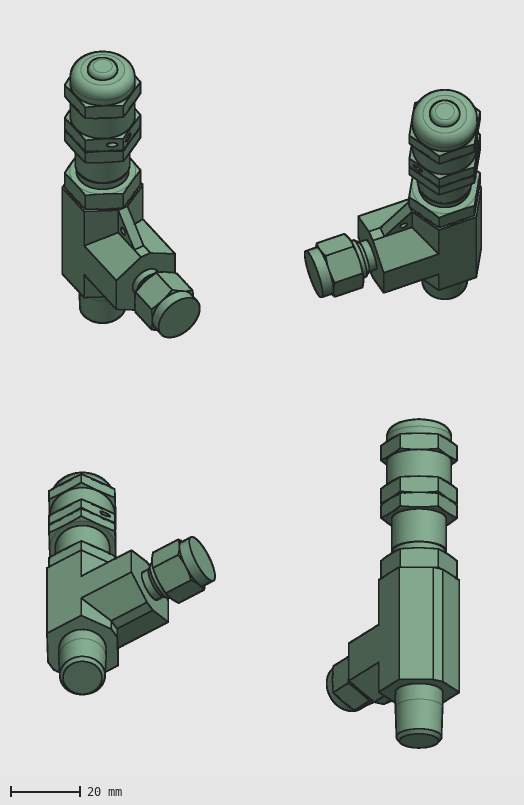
import cadquery as cq
import math

THREAD_CHAMFER_Z = 1.2
THREAD_TAPER_Z = 10.4
BODY_BOTTOM_Z = 15.1
BRANCH_Z = 30.2
BODY_TOP_Z = 50.0
BONNET_NUT_TOP_Z = 56.2
STEM_STEP_Z = 58.9
LOCK_NUT_BOTTOM_Z = 69.0
LOCK_NUT_TOP_Z = 73.5
DRILLED_NUT_TOP_Z = 78.6
CAP_NUT_BOTTOM_Z = 86.9
CAP_NUT_TOP_Z = 91.9
CAP_TOP_Z = 97.2
TOP_Z = 98.8

THREAD_TIP_RADIUS = 5.6
THREAD_RADIUS = 13.7 / 2
THREAD_TAPER = 1 / 32
STEM_GROOVE_RADIUS = 7.6
STEM_RADIUS = 7.9
CAP_RADIUS = 9.4
CAP_ROUND = 3.1
BUTTON_RADIUS = 4.3
BUTTON_ROUND = TOP_Z - CAP_TOP_Z

NUT_FLATS = 19.1
NUT_CHAMFER = 0.3
LOCK_HOLE_RADIUS = 0.8
LOCK_HOLE_X = 9.4
LOCK_HOLE_Z = (LOCK_NUT_TOP_Z + DRILLED_NUT_TOP_Z) / 2

BODY_FLATS = 20.3
BODY_HALF_WIDTH = 10.8
BODY_CORNER = BODY_FLATS / math.sqrt(3)
CUT_CORNER_HALF = (BODY_CORNER - BODY_HALF_WIDTH) * math.sqrt(3)
BRANCH_END_X = 22.9

GUSSET_END_X = 19.4
GUSSET_HOLE_RADIUS = 1.1
GUSSET_HOLE_X = 13.3
GUSSET_HOLE_Z = 43.7

TUBE_RADIUS = 4.5
COLLAR_RADIUS = 5.6
COLLAR_CONE_X = 25.2
COLLAR_X = 26.4
TUBE_NUT_X = 28.0
TUBE_NUT_END_X = 37.35
FITTING_END_X = 40.7
TUBE_NUT_FLATS = 14.2
TUBE_NUT_CHAMFER = 0.4


def revolve_about_z(points):
    """Solid of revolution from (radius, height) points along the Z axis."""
    profile = cq.Workplane("XZ").polyline(points).close()
    return profile.revolve(360, (0, 0), (0, 1))


def hex_nut(flats, bottom, top, chamfer):
    """Nut along Z with corners on X; both ends are coned down to the flats."""
    corner_radius = flats / math.sqrt(3)
    prism = cq.Workplane("XY").workplane(offset=bottom).polygon(6, 2 * corner_radius).extrude(top - bottom)
    cone_envelope = revolve_about_z([
        (0, bottom),
        (flats / 2, bottom),
        (corner_radius, bottom + chamfer),
        (corner_radius, top - chamfer),
        (flats / 2, top),
        (0, top),
    ])
    return prism.intersect(cone_envelope)


def along_branch(solid):
    """Turn a solid built along Z so that it lies on the branch axis, toward +X."""
    return solid.rotate((0, 0, 0), (0, 1, 0), 90).translate((0, 0, BRANCH_Z))


def body_bar(start, end):
    """Length of the body section along Z, with its cut corners on X."""
    bar = cq.Workplane("XY").workplane(offset=start).polygon(6, 2 * BODY_CORNER).extrude(end - start)
    width_limit = cq.Workplane("XY").workplane(offset=start)
    width_limit = width_limit.rect(2 * BODY_HALF_WIDTH, BODY_FLATS).extrude(end - start)
    return bar.intersect(width_limit)


def make_gusset():
    """Triangular web, as thick as the cut corners it bridges."""
    branch_top = BRANCH_Z + BODY_HALF_WIDTH
    return cq.Workplane("XZ").polyline([
        (0, BODY_TOP_Z),
        (BODY_HALF_WIDTH, BODY_TOP_Z),
        (GUSSET_END_X, branch_top),
        (GUSSET_END_X, BRANCH_Z),
        (0, BRANCH_Z),
    ]).close().extrude(CUT_CORNER_HALF, both=True)


def cross_hole(x, z, radius):
    """Cutter for a hole that passes right through along Y."""
    return cq.Workplane("XZ").center(x, z).circle(radius).extrude(BODY_FLATS, both=True)


def make_stack():
    """Turned parts on the main axis: inlet thread, stem, cap and button."""
    thread_end_radius = THREAD_RADIUS - THREAD_TAPER * (THREAD_TAPER_Z - THREAD_CHAMFER_Z)
    stack = revolve_about_z([
        (0, 0),
        (THREAD_TIP_RADIUS, 0),
        (thread_end_radius, THREAD_CHAMFER_Z),
        (THREAD_RADIUS, THREAD_TAPER_Z),
        (THREAD_RADIUS, BODY_TOP_Z),
        (STEM_GROOVE_RADIUS, BODY_TOP_Z),
        (STEM_GROOVE_RADIUS, STEM_STEP_Z),
        (STEM_RADIUS, STEM_STEP_Z),
        (STEM_RADIUS, LOCK_NUT_TOP_Z),
        (0, LOCK_NUT_TOP_Z),
    ])
    cap_profile = (
        cq.Workplane("XZ")
        .moveTo(0, LOCK_NUT_TOP_Z)
        .lineTo(CAP_RADIUS, LOCK_NUT_TOP_Z)
        .lineTo(CAP_RADIUS, CAP_TOP_Z - CAP_ROUND)
        .radiusArc((CAP_RADIUS - CAP_ROUND, CAP_TOP_Z), -CAP_ROUND)
        .lineTo(BUTTON_RADIUS, CAP_TOP_Z)
        .radiusArc((BUTTON_RADIUS - BUTTON_ROUND, TOP_Z), -BUTTON_ROUND)
        .lineTo(0, TOP_Z)
        .close()
    )
    return stack.union(cap_profile.revolve(360, (0, 0), (0, 1)))


def make_tube_fitting():
    """Tube, collar, nut and nut skirt at the branch end."""
    skirt_radius = TUBE_NUT_FLATS / 2
    turned = revolve_about_z([
        (0, 0),
        (TUBE_RADIUS, 0),
        (TUBE_RADIUS, COLLAR_CONE_X),
        (COLLAR_RADIUS, COLLAR_X),
        (COLLAR_RADIUS, TUBE_NUT_END_X),
        (skirt_radius, TUBE_NUT_END_X),
        (skirt_radius, FITTING_END_X),
        (0, FITTING_END_X),
    ])
    nut = hex_nut(TUBE_NUT_FLATS, TUBE_NUT_X, TUBE_NUT_END_X, TUBE_NUT_CHAMFER)
    return along_branch(turned.union(nut))


body = body_bar(BODY_BOTTOM_Z, BODY_TOP_Z)
body = body.union(along_branch(body_bar(0, BRANCH_END_X)))
body = body.union(make_gusset())
body = body.cut(cross_hole(GUSSET_HOLE_X, GUSSET_HOLE_Z, GUSSET_HOLE_RADIUS))

result = body.union(make_stack()).union(make_tube_fitting())
for nut_bottom, nut_top in (
    (BODY_TOP_Z, BONNET_NUT_TOP_Z),
    (LOCK_NUT_BOTTOM_Z, LOCK_NUT_TOP_Z),
    (LOCK_NUT_TOP_Z, DRILLED_NUT_TOP_Z),
    (CAP_NUT_BOTTOM_Z, CAP_NUT_TOP_Z),
):
    result = result.union(hex_nut(NUT_FLATS, nut_bottom, nut_top, NUT_CHAMFER))

result = result.cut(cross_hole(LOCK_HOLE_X, LOCK_HOLE_Z, LOCK_HOLE_RADIUS))